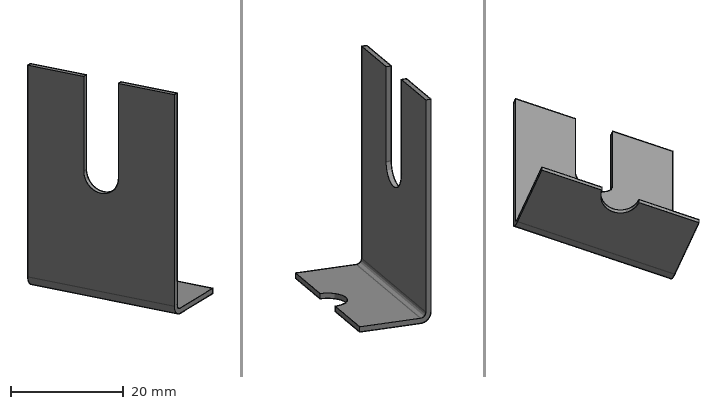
import cadquery as cq

width = 30.0
depth = 13.67
height = 42.05

thickness = 1.0
inner_bend_radius = 1.0
outer_bend_radius = inner_bend_radius + thickness

slot_width = 7.05
slot_bottom = 20.6
slot_radius = slot_width / 2
slot_center_z = slot_bottom + slot_radius
notch_radius = 3.5


def bent_sheet():
    """L-shaped sheet: upright at Y = 0, foot at Z = 0, centred on X."""
    upright = cq.Workplane("XY").box(width, thickness, height, centered=(True, False, False))
    foot = cq.Workplane("XY").box(width, depth, thickness, centered=(True, False, False))
    sheet = upright.union(foot)
    inner_corner = cq.selectors.NearestToPointSelector((0, thickness, thickness))
    sheet = sheet.edges(inner_corner).fillet(inner_bend_radius)
    outer_corner = cq.selectors.NearestToPointSelector((0, 0, 0))
    return sheet.edges(outer_corner).fillet(outer_bend_radius)


def upright_slot():
    """Round-bottomed slot running up through the top edge."""
    return (
        cq.Workplane("XZ", origin=(0, thickness, 0))
        .moveTo(-slot_radius, height)
        .lineTo(-slot_radius, slot_center_z)
        .threePointArc((0, slot_bottom), (slot_radius, slot_center_z))
        .lineTo(slot_radius, height)
        .close()
        .extrude(thickness)
    )


def foot_notch():
    """Half-round notch centred on the free edge of the foot."""
    return cq.Workplane("XY").center(0, depth).circle(notch_radius).extrude(thickness)


result = bent_sheet().cut(upright_slot()).cut(foot_notch())